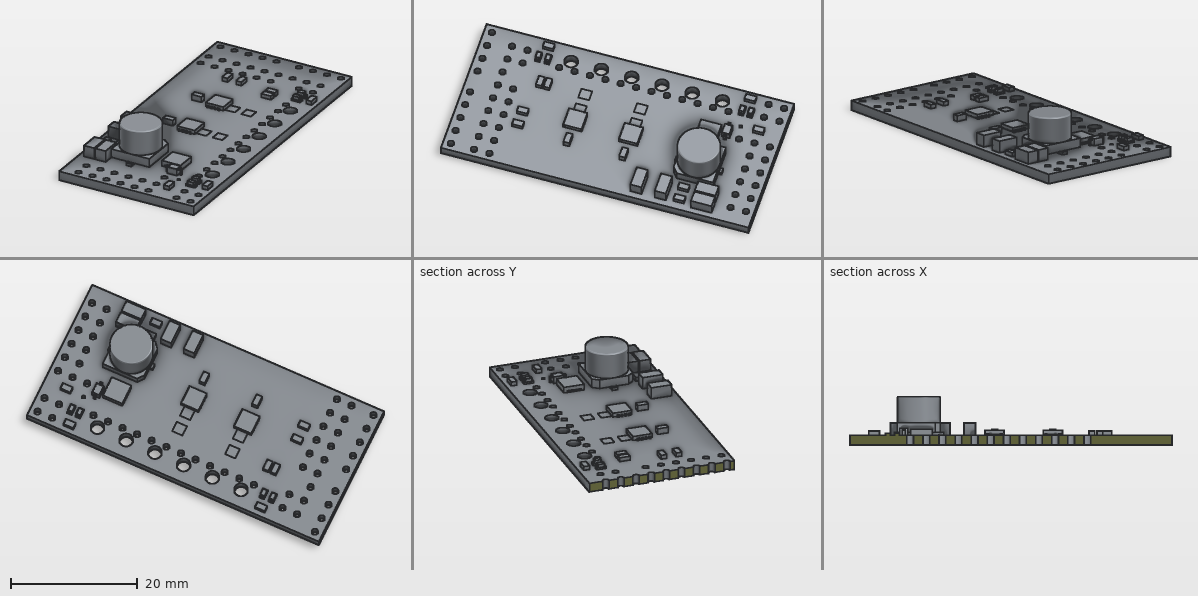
import cadquery as cq

BOARD_WIDTH = 24.4
BOARD_LENGTH = 50.8
BOARD_THICKNESS = 1.6
TOTAL_HEIGHT = 7.65
SINK = 0.1

HOLE_DIAMETER = 1.0
PITCH = 2.55
EDGE_MARGIN = PITCH / 2
TOP_ROW_GAP = 1.5 * PITCH
VIA_DIAMETER = 0.5
VIA_POSITION = (17.85, 6.8)

LARGE_HOLE_DIAMETER = 2.2
LARGE_HOLE_COUNT = 6
LARGE_HOLE_X = 21.6
LARGE_HOLE_FIRST_Y = 10.95
LARGE_HOLE_LAST_Y = 35.95
SIDE_HOLE_COUNT = 12
SIDE_HOLE_X = 19.95
SIDE_HOLE_FIRST_Y = 9.5

SMALL_CHIP = (1.75, 0.95, 0.65, 0.4)
TALL_CHIP = (1.8, 0.95, 0.95, 0.3)
BIG_CHIP = (3.4, 1.85, 1.95, 0.5)

ALONG_X = 0
ALONG_Y = 90
SMALL_CHIP_PLACES = [
    (7.65, 40.45, ALONG_Y),
    (10.2, 40.45, ALONG_Y),
    (23.05, 40.15, ALONG_Y),
    (16.25, 39.4, ALONG_X),
    (16.25, 38.15, ALONG_X),
    (1.8, 11.95, ALONG_Y),
    (4.0, 11.95, ALONG_Y),
    (23.05, 6.8, ALONG_Y),
    (17.8, 3.8, ALONG_Y),
]
BIG_CHIP_PLACES = [
    (2.75, 18.9, ALONG_X),
    (2.75, 14.9, ALONG_X),
    (1.85, 8.1, ALONG_Y),
    (3.9, 8.1, ALONG_Y),
]

LED_LENGTH = 1.6
LED_WIDTH = 0.8
LED_BASE_HEIGHT = 0.3
LED_HEIGHT = 0.85
LENS_LENGTH = 1.05
LENS_WIDTH = 0.75
LED_PLACES = [(20.8, 41.1), (20.8, 39.5), (20.6, 7.4), (20.6, 6.0)]

CONTACT_WIDTH = 0.3
CONTACT_DEPTH = 0.3
CONTACT_STEP = 0.025

STAGE_YS = (32.0, 22.8)
STAGE_CHIP_X = 7.1
TRANSISTOR_X = 10.95
TRANSISTOR_LENGTH = 3.2
TRANSISTOR_WIDTH = 3.05
TRANSISTOR_HEIGHT = 0.8
STANDOFF = 0.15
LEAD_ROW_X = 10.7
LEAD_COUNT = 4
LEAD_PITCH = 0.65
LEAD_HEIGHT = 0.4
SLUG_LENGTH = 2.3
PAD_WIDTH = 1.8
PAD_HEIGHT = 0.025
TAB_END_X = 14.3
PAD_X = 16.3
PAD_LENGTH = 1.75

INDUCTOR_X = 8.7
INDUCTOR_Y = 10.85
INDUCTOR_BASE_WIDTH = 6.9
INDUCTOR_BASE_LENGTH = 6.8
CORNER_CUT_X = 1.0
CORNER_CUT_Y = 0.8
INDUCTOR_BASE_BOTTOM = 0.45
INDUCTOR_BASE_TOP = 1.95
CAN_DIAMETER = 6.8
CAN_EDGE_RADIUS = 0.25
FOOT_WIDTH = 0.9
FOOT_LENGTH = 7.75

CONTROLLER_SIZE = 3.4
CONTROLLER_HEIGHT = 0.95
CONTROLLER_X = 14.95
CONTROLLER_Y = 11.3
PIN_COUNT = 5
PIN_PITCH = 0.5
PIN_HEIGHT = 0.3

DIODE_POSITION = (16.05, 8.5)
DIODE_LENGTH = 1.8
DIODE_WIDTH = 1.3
DIODE_HEIGHT = 1.1
DIODE_SPAN = 2.7
DIODE_LEAD_WIDTH = 0.4
DIODE_LEAD_HEIGHT = 0.95
DIODE_LEAD_THICKNESS = 0.15
DIODE_PARTING_HEIGHT = 0.8
DIODE_TAPER_ANGLE = 8


def block(length, width, bottom, top, x=0.0, y=0.0):
    """Box centred on (x, y); bottom and top are heights above the board surface."""
    return (
        cq.Workplane("XY", origin=(x, y, BOARD_THICKNESS + bottom))
        .rect(length, width)
        .extrude(top - bottom)
    )


def row(first_x, count, y):
    """Points of a run of holes along X at the common pitch."""
    return [(first_x + i * PITCH, y) for i in range(count)]


def two_terminal_chip(size, x, y, angle):
    length, width, height, terminal = size
    chip = block(length - 2 * terminal, width, -SINK, height)
    for side in (-1, 1):
        centre = side * (length - terminal) / 2
        chip = chip.union(block(terminal, width, -SINK, height, centre), clean=False)
    return chip.rotate((0, 0, 0), (0, 0, 1), angle).translate((x, y, 0))


def led(x, y):
    base = block(LED_LENGTH, LED_WIDTH, -SINK, LED_BASE_HEIGHT, x, y)
    lens = block(LENS_LENGTH, LENS_WIDTH, LED_BASE_HEIGHT - SINK, LED_HEIGHT, x, y)
    return base.union(lens)


def contacts(x, y, body_width, count, pitch, height):
    """Two rows of contacts, one along each Y side of a body centred on y."""
    pieces = []
    for side in (-1, 1):
        row_y = y + side * ((body_width - CONTACT_DEPTH) / 2 + CONTACT_STEP)
        for i in range(count):
            contact_x = x + (i - (count - 1) / 2) * pitch
            pieces.append(
                block(CONTACT_WIDTH, CONTACT_DEPTH, -SINK, height, contact_x, row_y)
            )
    return pieces


def transistor(y):
    body = block(
        TRANSISTOR_LENGTH, TRANSISTOR_WIDTH, STANDOFF, TRANSISTOR_HEIGHT, TRANSISTOR_X, y
    )
    slug = block(SLUG_LENGTH, PAD_WIDTH, -SINK, STANDOFF + SINK, TRANSISTOR_X, y)
    body = body.union(slug)
    for contact in contacts(
        LEAD_ROW_X, y, TRANSISTOR_WIDTH, LEAD_COUNT, LEAD_PITCH, LEAD_HEIGHT
    ):
        body = body.union(contact)
    tab_length = TAB_END_X - TRANSISTOR_X
    tab = block(tab_length, PAD_WIDTH, -SINK, PAD_HEIGHT, TRANSISTOR_X + tab_length / 2, y)
    return body.union(tab)


def inductor():
    half_width = INDUCTOR_BASE_WIDTH / 2
    half_length = INDUCTOR_BASE_LENGTH / 2
    base = (
        cq.Workplane("XY", origin=(0, 0, BOARD_THICKNESS + INDUCTOR_BASE_BOTTOM))
        .moveTo(-half_width, -half_length)
        .lineTo(half_width, -half_length)
        .lineTo(half_width, half_length - CORNER_CUT_Y)
        .lineTo(half_width - CORNER_CUT_X, half_length)
        .lineTo(CORNER_CUT_X - half_width, half_length)
        .lineTo(-half_width, half_length - CORNER_CUT_Y)
        .close()
        .extrude(INDUCTOR_BASE_TOP - INDUCTOR_BASE_BOTTOM)
    )
    can_bottom = BOARD_THICKNESS + INDUCTOR_BASE_TOP - SINK
    can = (
        cq.Workplane("XY", origin=(0, 0, can_bottom))
        .circle(CAN_DIAMETER / 2)
        .extrude(TOTAL_HEIGHT - can_bottom)
        .faces(">Z")
        .fillet(CAN_EDGE_RADIUS)
    )
    foot = block(FOOT_WIDTH, FOOT_LENGTH, -SINK, INDUCTOR_BASE_BOTTOM)
    return base.union(can).union(foot).translate((INDUCTOR_X, INDUCTOR_Y, 0))


def controller():
    chip = block(
        CONTROLLER_SIZE, CONTROLLER_SIZE, -SINK, CONTROLLER_HEIGHT, CONTROLLER_X, CONTROLLER_Y
    )
    for contact in contacts(
        CONTROLLER_X, CONTROLLER_Y, CONTROLLER_SIZE, PIN_COUNT, PIN_PITCH, PIN_HEIGHT
    ):
        chip = chip.union(contact)
    return chip


def diode():
    x, y = DIODE_POSITION
    body = block(DIODE_LENGTH, DIODE_WIDTH, -SINK, DIODE_PARTING_HEIGHT, x, y)
    upper_half = (
        body.faces(">Z")
        .workplane(centerOption="CenterOfMass")
        .rect(DIODE_LENGTH, DIODE_WIDTH)
        .extrude(DIODE_HEIGHT - DIODE_PARTING_HEIGHT, taper=DIODE_TAPER_ANGLE, combine=False)
    )
    strap_bottom = DIODE_LEAD_HEIGHT - DIODE_LEAD_THICKNESS
    strap = block(DIODE_SPAN, DIODE_LEAD_WIDTH, strap_bottom, DIODE_LEAD_HEIGHT, x, y)
    body = body.union(upper_half).union(strap)
    for side in (-1, 1):
        post_x = x + side * (DIODE_SPAN - DIODE_LEAD_THICKNESS) / 2
        post = block(
            DIODE_LEAD_THICKNESS, DIODE_LEAD_WIDTH, -SINK, DIODE_LEAD_HEIGHT, post_x, y
        )
        body = body.union(post)
    return body


def board():
    top_y = BOARD_LENGTH - EDGE_MARGIN
    right_x = BOARD_WIDTH - EDGE_MARGIN
    second_y = top_y - TOP_ROW_GAP
    third_y = second_y - PITCH
    runs = [
        (EDGE_MARGIN, 5, top_y),
        (right_x - 3 * PITCH, 4, top_y),
        (EDGE_MARGIN, 9, second_y),
        (EDGE_MARGIN, 6, third_y),
        (EDGE_MARGIN + 7 * PITCH, 2, third_y),
        (right_x - 3 * PITCH, 1, EDGE_MARGIN + 2 * PITCH),
    ]
    for y in (EDGE_MARGIN, EDGE_MARGIN + PITCH):
        runs += [(right_x - 8 * PITCH, 6, y), (right_x - PITCH, 2, y)]
    holes = []
    for run in runs:
        holes += row(*run)
    holes += [(SIDE_HOLE_X, SIDE_HOLE_FIRST_Y + i * PITCH) for i in range(SIDE_HOLE_COUNT)]

    large_pitch = (LARGE_HOLE_LAST_Y - LARGE_HOLE_FIRST_Y) / (LARGE_HOLE_COUNT - 1)
    large_holes = [
        (LARGE_HOLE_X, LARGE_HOLE_FIRST_Y + i * large_pitch) for i in range(LARGE_HOLE_COUNT)
    ]
    plate = cq.Workplane("XY").box(
        BOARD_WIDTH, BOARD_LENGTH, BOARD_THICKNESS, centered=False
    )
    for points, diameter in (
        (holes, HOLE_DIAMETER),
        (large_holes, LARGE_HOLE_DIAMETER),
        ([VIA_POSITION], VIA_DIAMETER),
    ):
        drills = cq.Workplane("XY").pushPoints(points).circle(diameter / 2)
        plate = plate.cut(drills.extrude(BOARD_THICKNESS))
    return plate


parts = [inductor(), diode(), controller()]
parts += [two_terminal_chip(SMALL_CHIP, *place) for place in SMALL_CHIP_PLACES]
parts += [two_terminal_chip(BIG_CHIP, *place) for place in BIG_CHIP_PLACES]
parts += [led(*place) for place in LED_PLACES]
for stage_y in STAGE_YS:
    parts.append(two_terminal_chip(TALL_CHIP, STAGE_CHIP_X, stage_y, ALONG_X))
    parts.append(transistor(stage_y))
    parts.append(block(PAD_LENGTH, PAD_WIDTH, -SINK, PAD_HEIGHT, PAD_X, stage_y))

result = board()
for part in parts:
    result = result.union(part, clean=False)